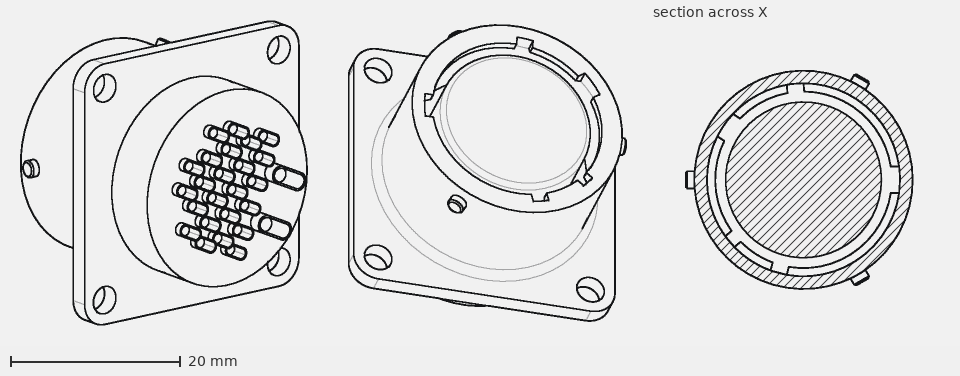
import cadquery as cq


shell_radius = 12.87
flange_front = 14.08
flange_thickness = 2.2
flange_side = 32.0
flange_corner_radius = 3.0
flange_fillet = 1.0
mounting_hole_offset = 13.0
mounting_hole_diameter = 3.35
rear_barrel_radius = 11.95
rear_face = 23.05

bore_radius = 10.38
cavity_depth = 10.0
lip_length = 1.8
lip_land_length = 1.05
keyway_radius = 11.35
insert_radius = 9.2
insert_recess = 0.35
insert_edge_fillet = 0.6
keyways = [(0, 3.1), (95, 1.95), (145, 3.2), (220, 1.65), (255, 1.95)]

peg_angles = [60, 180, 300]
peg_from_front = 2.55
peg_diameter = 2.05
peg_tip_radius = 13.87
peg_chamfer = 0.2

small_cup = dict(radius=0.76, hole_radius=0.6, length=3.0, solid_length=0.9, blend=0.6)
large_cup = dict(radius=1.1, hole_radius=0.87, length=5.0, solid_length=1.5, blend=1.0)
cup_root_overlap = 0.5

layout_turn = -20.5
contact_pitch = 3.0
half_pitch = contact_pitch / 2
inner_row = 2.6
outer_row = 5.17
end_row = 7.4
rim_contact = (2.4, 6.97)
large_contact = (6.05, 3.03)
small_rows = [
    (-end_row, [half_pitch]),
    (-outer_row, [0, contact_pitch, 2 * contact_pitch]),
    (-inner_row, [half_pitch, 3 * half_pitch]),
    (-rim_contact[0], [rim_contact[1]]),
    (0, [0, contact_pitch, 2 * contact_pitch]),
    (rim_contact[0], [rim_contact[1]]),
    (inner_row, [half_pitch, 3 * half_pitch]),
]
large_rows = [(large_contact[0], [large_contact[1]])]


def cylinder_x(radius, start, end):
    """Cylinder along X between two X positions."""
    return cq.Workplane("YZ", origin=(start, 0, 0)).circle(radius).extrude(end - start)


def turned(body, angle):
    """Rotate a body about the connector axis."""
    return body.rotate((0, 0, 0), (1, 0, 0), angle)


def make_body():
    """Shell, square flange and rear barrel in one piece."""
    flange_middle = flange_front + flange_thickness / 2
    fillet_outer = shell_radius + flange_fillet
    hole_spacing = 2 * mounting_hole_offset
    flange = (
        cq.Workplane("YZ", origin=(flange_front, 0, 0))
        .rect(flange_side, flange_side)
        .extrude(flange_thickness)
        .edges("|X")
        .fillet(flange_corner_radius)
        .faces("<X")
        .workplane(centerOption="CenterOfBoundBox")
        .rect(hole_spacing, hole_spacing, forConstruction=True)
        .vertices()
        .hole(mounting_hole_diameter)
    )
    shell_profile = (
        cq.Workplane("XY")
        .lineTo(0, shell_radius)
        .lineTo(flange_front - flange_fillet, shell_radius)
        .radiusArc((flange_front, fillet_outer), -flange_fillet)
        .lineTo(flange_middle, fillet_outer)
        .lineTo(flange_middle, rear_barrel_radius)
        .lineTo(rear_face, rear_barrel_radius)
        .lineTo(rear_face, 0)
        .close()
    )
    shell = shell_profile.revolve(360, (0, 0, 0), (1, 0, 0))
    return flange.union(shell)


def make_cavity():
    """Space around the insert: keyed lip with a flared back, then the wider chamber."""
    bore_profile = (
        cq.Workplane("XY")
        .lineTo(0, bore_radius)
        .lineTo(lip_land_length, bore_radius)
        .lineTo(lip_length, keyway_radius)
        .lineTo(cavity_depth, keyway_radius)
        .lineTo(cavity_depth, 0)
        .close()
    )
    cavity = bore_profile.revolve(360, (0, 0, 0), (1, 0, 0))
    for angle, width in keyways:
        keyway = cq.Workplane("XY").box(lip_length, keyway_radius, width, centered=(False, False, True))
        keyway = keyway.intersect(cylinder_x(keyway_radius, 0, lip_length))
        cavity = cavity.union(turned(keyway, angle))
    insert = cylinder_x(insert_radius, insert_recess, cavity_depth)
    insert = insert.faces("<X").edges().fillet(insert_edge_fillet)
    return cavity.cut(insert)


def make_peg(angle):
    """Radial bayonet peg with a chamfered tip, rooted in the shell wall."""
    root_radius = (keyway_radius + shell_radius) / 2
    peg = (
        cq.Workplane("XZ", origin=(peg_from_front, root_radius, 0))
        .circle(peg_diameter / 2)
        .extrude(root_radius - peg_tip_radius)
        .faces(">Y")
        .chamfer(peg_chamfer)
    )
    return turned(peg, angle)


def make_cup(radius, hole_radius, length, solid_length, blend):
    """Solder cup on the X axis, opened on its -Y half behind a solid root."""
    end = rear_face + length
    opening_start = rear_face + solid_length
    pin = cylinder_x(radius, rear_face - cup_root_overlap, end)
    hole = cylinder_x(hole_radius, opening_start, end)
    opening = (
        cq.Workplane("XY", origin=(0, 0, -radius))
        .moveTo(opening_start, -2 * radius)
        .lineTo(opening_start, -blend)
        .radiusArc((opening_start + blend, 0), blend)
        .lineTo(end, 0)
        .lineTo(end, -2 * radius)
        .close()
        .extrude(2 * radius)
    )
    return pin.cut(hole).cut(opening)


def place_cups(body, cup, rows):
    """Add a cup at every contact of the given rows and its mirror image."""
    for row, distances in rows:
        for distance in distances:
            for side in {distance, -distance}:
                body = body.union(turned(cup.translate((0, row, side)), layout_turn))
    return body


result = make_body().cut(make_cavity())
for peg_angle in peg_angles:
    result = result.union(make_peg(peg_angle))
result = place_cups(result, make_cup(**small_cup), small_rows)
result = place_cups(result, make_cup(**large_cup), large_rows)